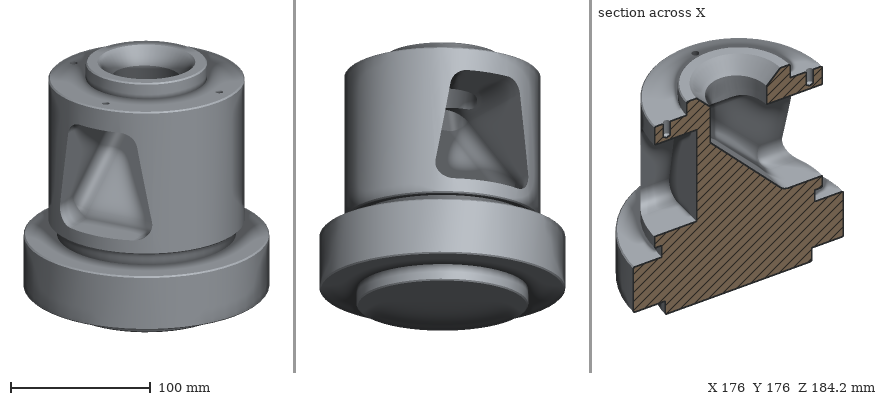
import cadquery as cq
import math

spigot_diameter = 123.0
spigot_top = 12.0
flange_diameter = 176.0
flange_top = 53.0
neck_diameter = 128.5
neck_top = 63.0
body_diameter = 140.6
body_top = 172.2
collar_diameter = 87.0
collar_top = 184.19
edge_chamfer = 1.0

funnel_diameter = 70.0
throat_width = 50.5
throat_length = 47.0

window_bottom = 73.8
window_top = 155.5
window_bottom_width = 80.0
window_top_width = 53.2
window_corner_radius = 12.0
wall_clearance = 1.0

ramp_foot_y = -38.0
ramp_head_y = throat_length / 2
ramp_head = 140.0
ramp_edge_radius = 10.0

back_pocket_floor_y = body_diameter / 4

hole_count = 4
hole_diameter = 5.5
hole_circle_diameter = 119.5
hole_depth = 12.0
drill_point_angle = 118.0


def round_section(diameter, bottom, top, chamfered_edges=None):
    """Solid disc between two heights, with the selected rims chamfered."""
    disc = cq.Workplane("XY", origin=(0, 0, bottom)).circle(diameter / 2).extrude(top - bottom)
    if chamfered_edges:
        disc = disc.edges(chamfered_edges).chamfer(edge_chamfer)
    return disc


def turned_blank():
    """The stack of round sections from the spigot up to the collar."""
    blank = round_section(spigot_diameter, 0, spigot_top, "<Z")
    blank = blank.union(round_section(flange_diameter, spigot_top, flange_top, "<Z or >Z"))
    blank = blank.union(round_section(neck_diameter, flange_top, neck_top))
    blank = blank.union(round_section(body_diameter, neck_top, body_top, "<Z or >Z"))
    return blank.union(round_section(collar_diameter, body_top, collar_top, ">Z"))


def throat():
    """Oval outline at the bottom of the funnel, longest across X."""
    return cq.Workplane("XY", origin=(0, 0, body_top)).ellipse(throat_width / 2, throat_length / 2)


def funnel():
    """Tapered inlet from the collar top down to the throat."""
    rim = cq.Workplane("XY", origin=(0, 0, collar_top)).circle(funnel_diameter / 2)
    return cq.Workplane(cq.Solid.makeLoft([rim.wires().val(), throat().wires().val()], True))


def window_prism(start_y, end_y):
    """Sharp-cornered trapezoid of the window, extruded along Y."""
    corners = [
        (-window_bottom_width / 2, window_bottom),
        (window_bottom_width / 2, window_bottom),
        (window_top_width / 2, window_top),
        (-window_top_width / 2, window_top),
    ]
    outline = cq.Workplane("XZ", origin=(0, start_y, 0)).polyline(corners).close()
    return outline.extrude(start_y - end_y)


def rounded_window_prism(start_y, end_y):
    """Window prism with its four long corners rounded."""
    return window_prism(start_y, end_y).edges("|Y").fillet(window_corner_radius)


def chute():
    """Passage out of the -Y window, closed behind by a ramp below an upright wall."""
    outlet_y = -body_diameter / 2 - wall_clearance
    side_profile = [
        (outlet_y, window_bottom),
        (ramp_foot_y, window_bottom),
        (ramp_head_y, ramp_head),
        (ramp_head_y, window_top),
        (outlet_y, window_top),
    ]
    envelope = cq.Workplane("YZ").polyline(side_profile).close().extrude(window_bottom_width, both=True)
    passage = window_prism(outlet_y, ramp_head_y).intersect(envelope)
    passage = passage.edges("not (<Y or >Z or (|X and >Y))").fillet(ramp_edge_radius)
    return passage.intersect(rounded_window_prism(outlet_y, ramp_head_y))


def bore():
    """Straight oval passage from the throat down into the chute, ending level with the ramp head."""
    return throat().extrude(ramp_head - body_top)


def back_pocket():
    """Blind flat-floored pocket behind the +Y window."""
    return rounded_window_prism(back_pocket_floor_y, body_diameter / 2 + wall_clearance)


def drilled_holes():
    """Ring of blind holes in the body's top face, each with a conical drill point."""
    radius = hole_diameter / 2
    point_length = radius / math.tan(math.radians(drill_point_angle / 2))
    half_section = [(0, 0), (radius, 0), (radius, -hole_depth), (0, -hole_depth - point_length)]
    drill = cq.Workplane("XZ").polyline(half_section).close().revolve(360, (0, 0, 0), (0, 1, 0)).val()
    top_face = cq.Workplane("XY", origin=(0, 0, body_top))
    ring = top_face.polarArray(hole_circle_diameter / 2, 0, 360, hole_count)
    return ring.eachpoint(lambda place: drill.moved(place), combine="a")


result = turned_blank()
for cutter in (funnel(), bore(), chute(), back_pocket(), drilled_holes()):
    result = result.cut(cutter)